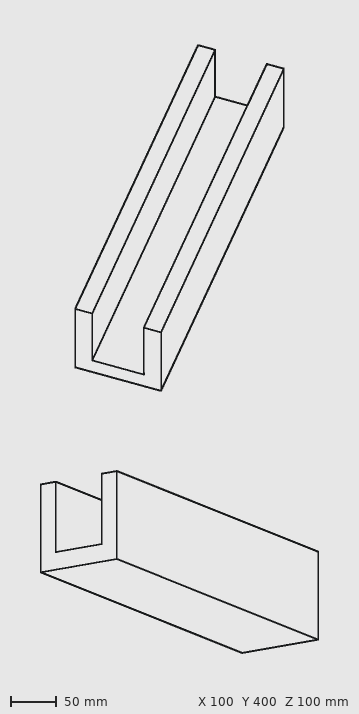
import cadquery as cq

length = 400.0
width = 100.0
height = 100.0
wall = 20.0

bar = cq.Workplane("XY").box(width, length, height)

groove_width = width - 2 * wall
groove_depth = height - wall
groove = (
    cq.Workplane("XY")
    .box(groove_width, length, groove_depth)
    .translate((0, 0, (height - groove_depth) / 2))
)

result = bar.cut(groove)